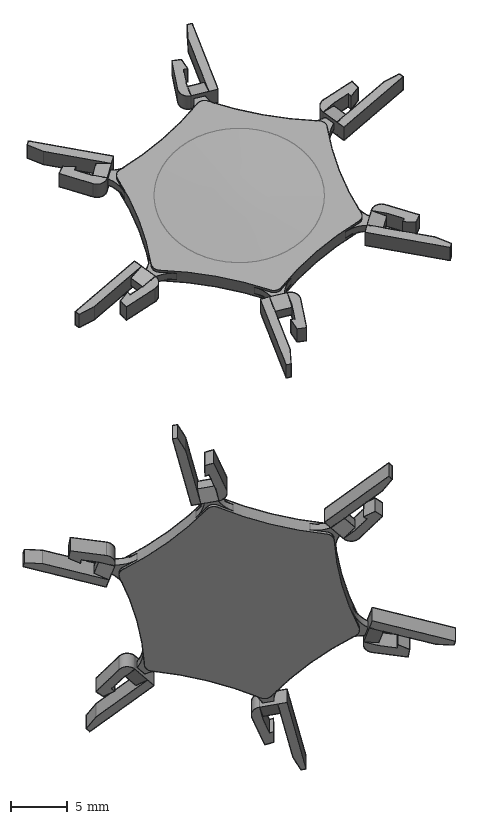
import cadquery as cq
import math

arm_count = 6
arm_pitch = 360 / arm_count
arm_reach = 19.4
arm_root = 11.7
arm_half_width = 1.7
arm_height = 1.9

blade_width = 0.85
blade_tip_width = 0.45
blade_taper_length = 1.55

bridge_length = 1.4
bridge_end_height = 1.1
clip_root_width = 0.95
clip_lean = 8.0
clip_length = 2.75
tooth_length = 1.13
tooth_height = 0.4

plate_height = 1.5
plate_corner = 11.3
plate_waist = 9.25
plate_corner_radius = 0.78
dish_radius = 7.5
dish_depth = 0.3

web_height = 0.9
web_neck_half_width = 0.5
web_flare_half_width = 1.65

bridge_end = arm_root + bridge_length
blade_inner = arm_half_width - blade_width
clip_inner = clip_root_width - arm_half_width


def polar(radius, degrees):
    """X and Y of a point given by its radius and its angle from +X."""
    angle = math.radians(degrees)
    return (radius * math.cos(angle), radius * math.sin(angle))


def slab(outline, height):
    """Extrude a closed outline by equal amounts above and below the mid-plane."""
    return outline.extrude(height / 2, both=True)


def make_plate():
    outline = cq.Workplane("XY").moveTo(0, plate_corner)
    for side in range(arm_count):
        start_angle = 90 + side * arm_pitch
        middle = polar(plate_waist, start_angle + arm_pitch / 2)
        corner = polar(plate_corner, start_angle + arm_pitch)
        outline = outline.threePointArc(middle, corner)
    plate = slab(outline.close(), plate_height).edges("|Z").fillet(plate_corner_radius)

    top = plate_height / 2
    dish = (
        cq.Workplane("XZ")
        .polyline([(0, top - dish_depth), (dish_radius, top), (0, top)])
        .close()
        .revolve(360, (0, 0), (0, 1))
    )
    return plate.cut(dish)


def make_web():
    """Web along +Y whose curved flanks run tangent into the hollow sides of the plate."""
    half_side = plate_corner * math.sin(math.radians(arm_pitch / 2))
    hollow = plate_corner * math.cos(math.radians(arm_pitch / 2)) - plate_waist
    side_radius = (half_side**2 + hollow**2) / (2 * hollow)
    side_x, side_y = polar(plate_waist + side_radius, 90 - arm_pitch / 2)

    flare_x = web_flare_half_width
    flare_y = side_y - math.sqrt(side_radius**2 - (side_x - flare_x) ** 2)
    normal_x = (side_x - flare_x) / side_radius
    normal_y = (side_y - flare_y) / side_radius

    chord_x = web_neck_half_width - flare_x
    chord_y = arm_root - flare_y
    chord_squared = chord_x**2 + chord_y**2
    flank_radius = chord_squared / (2 * (chord_x * normal_x + chord_y * normal_y))
    chord = math.sqrt(chord_squared)
    bulge = flank_radius - math.sqrt(flank_radius**2 - chord_squared / 4)
    middle_x = (flare_x + web_neck_half_width) / 2 - bulge * chord_y / chord
    middle_y = (flare_y + arm_root) / 2 + bulge * chord_x / chord

    outline = (
        cq.Workplane("XY")
        .moveTo(0, plate_waist - plate_corner_radius)
        .lineTo(flare_x, flare_y)
        .threePointArc((middle_x, middle_y), (web_neck_half_width, arm_root))
        .lineTo(-web_neck_half_width, arm_root)
        .threePointArc((-middle_x, middle_y), (-flare_x, flare_y))
        .close()
    )
    return slab(outline, web_height)


def make_blade():
    outline = (
        cq.Workplane("XY")
        .moveTo(blade_inner, arm_root)
        .lineTo(arm_half_width, arm_root)
        .lineTo(arm_half_width, arm_reach)
        .lineTo(arm_half_width - blade_tip_width, arm_reach)
        .lineTo(blade_inner, arm_reach - blade_taper_length)
        .close()
    )
    return slab(outline, arm_height)


def make_bridge():
    """Wedge between clip and blade, thinning outwards from the full arm height."""
    root_z = arm_height / 2
    end_z = bridge_end_height / 2
    return (
        cq.Workplane("YZ", origin=(clip_inner, 0, 0))
        .polyline([(arm_root, -root_z), (bridge_end, -end_z), (bridge_end, end_z), (arm_root, root_z)])
        .close()
        .extrude(blade_inner - clip_inner)
    )


def make_clip():
    """Leaning hook with a rounded heel and a tooth facing the blade."""
    lean = math.radians(clip_lean)
    heel_start = 270
    heel_end = 180 - clip_lean
    heel_y = arm_root + clip_root_width

    def heel_point(degrees):
        """Point on the rounded heel, which is centred on the clip's inner face."""
        x, y = polar(clip_root_width, degrees)
        return (clip_inner + x, heel_y + y)

    def leaning(along, across):
        """Point measured along the leaning inner face and out from it, towards the blade."""
        x = clip_inner + along * math.sin(lean) + across * math.cos(lean)
        y = bridge_end + along * math.cos(lean) - across * math.sin(lean)
        return (x, y)

    thickness = clip_root_width - (bridge_end - heel_y) * math.sin(lean)
    tooth_start = clip_length - tooth_length
    outline = (
        cq.Workplane("XY")
        .moveTo(*heel_point(heel_start))
        .threePointArc(heel_point((heel_start + heel_end) / 2), heel_point(heel_end))
        .lineTo(*leaning(clip_length, -thickness))
        .lineTo(*leaning(clip_length, 0))
        .lineTo(*leaning(tooth_start, tooth_height))
        .lineTo(*leaning(tooth_start, 0))
        .lineTo(clip_inner, bridge_end)
        .close()
    )
    return slab(outline, arm_height)


arm = make_web().union(make_blade()).union(make_bridge()).union(make_clip())

result = make_plate()
for index in range(arm_count):
    result = result.union(arm.rotate((0, 0, 0), (0, 0, 1), index * arm_pitch))